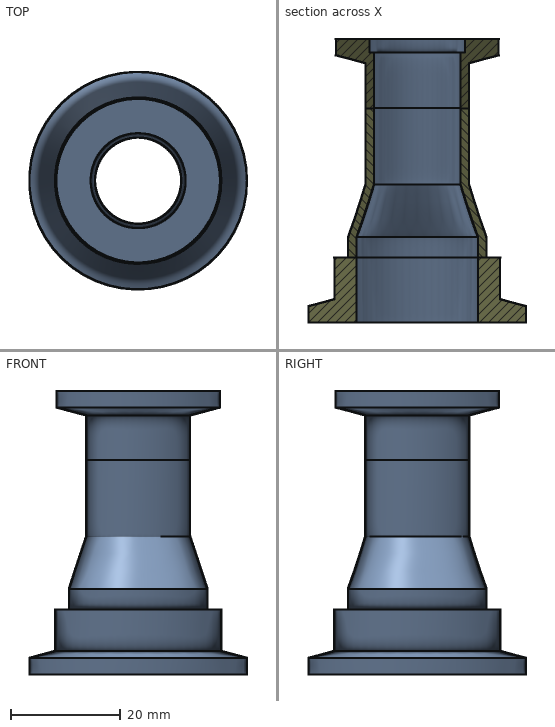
import cadquery as cq
import math

total_height = 51.94
rim_thickness = 3.05
clamp_angle = math.radians(15)

large_flange_diameter = 39.88
hub_diameter = 30.48
hub_top = 11.94

wall = 1.65
large_tube_diameter = 25.4
small_tube_diameter = 19.05
taper_start = 15.7
taper_end = 25.3

small_flange_diameter = 29.97
small_flange_height = 12.7
recess_diameter = 17.4
recess_depth = 2.5

large_bore = large_tube_diameter - 2 * wall
small_bore = small_tube_diameter - 2 * wall
joint_height = total_height - small_flange_height


def clamp_taper_height(rim_diameter, neck_diameter):
    """Height of the sloped face that runs from a rim in to its neck."""
    return (rim_diameter - neck_diameter) / 2 * math.tan(clamp_angle)


def revolved(profile):
    """Solid of revolution about Z from (diameter, height) profile corners."""
    corners = [(diameter / 2, height) for diameter, height in profile]
    return cq.Workplane("XZ").polyline(corners).close().revolve(360, (0, 0, 0), (0, 1, 0))


def make_large_flange():
    """Bottom clamp flange with a hub that carries the reducer on its top face."""
    taper_top = rim_thickness + clamp_taper_height(large_flange_diameter, hub_diameter)
    return revolved([
        (large_bore, 0),
        (large_flange_diameter, 0),
        (large_flange_diameter, rim_thickness),
        (hub_diameter, taper_top),
        (hub_diameter, hub_top),
        (large_bore, hub_top),
    ])


def make_reducer():
    """Tapered tube with the same radial wall along its whole length."""
    outside = [
        (large_tube_diameter, hub_top),
        (large_tube_diameter, taper_start),
        (small_tube_diameter, taper_end),
        (small_tube_diameter, joint_height),
    ]
    inside = [(diameter - 2 * wall, height) for diameter, height in reversed(outside)]
    return revolved(outside + inside)


def make_small_flange():
    """Top clamp flange with a neck and a shallow centring recess in its face."""
    rim_bottom = total_height - rim_thickness
    taper_bottom = rim_bottom - clamp_taper_height(small_flange_diameter, small_tube_diameter)
    recess_floor = total_height - recess_depth
    return revolved([
        (small_bore, joint_height),
        (small_tube_diameter, joint_height),
        (small_tube_diameter, taper_bottom),
        (small_flange_diameter, rim_bottom),
        (small_flange_diameter, total_height),
        (recess_diameter, total_height),
        (recess_diameter, recess_floor),
        (small_bore, recess_floor),
    ])


large_flange = make_large_flange()
reducer = make_reducer()
small_flange = make_small_flange()

result = cq.Compound.makeCompound([large_flange.val(), reducer.val(), small_flange.val()])